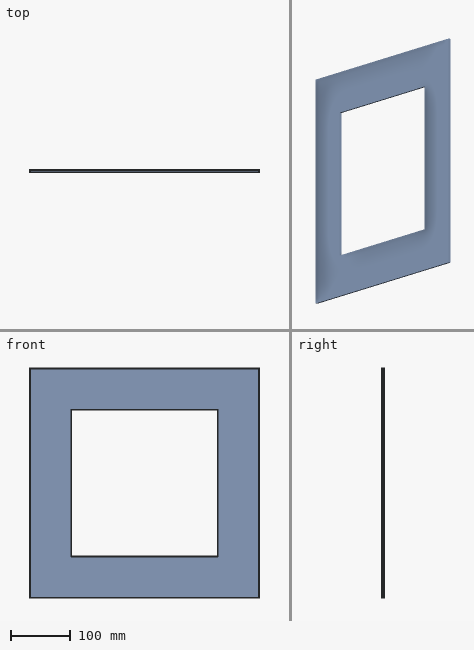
import cadquery as cq

outer_side = 382.5
border_width = 69.2
thickness = 4.0
opening_side = outer_side - 2 * border_width

plate = cq.Workplane("XY").box(outer_side, thickness, outer_side)
opening = cq.Workplane("XY").box(opening_side, thickness, opening_side)

result = plate.cut(opening)